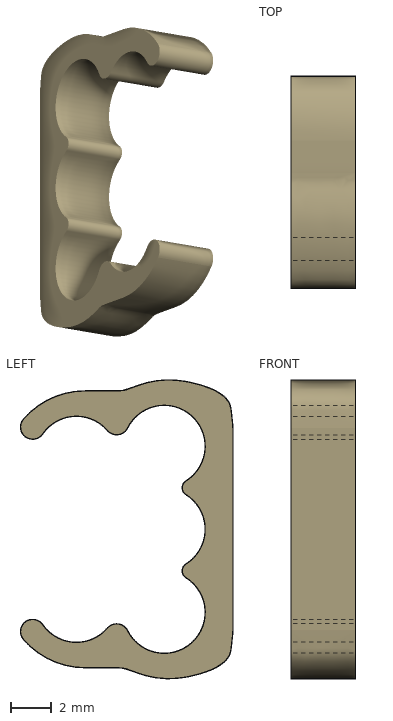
import cadquery as cq
import math

CLIP_WIDTH = 3.17
CLIP_DEPTH = 10.41
CLIP_HEIGHT = 14.64

SEAT_RADIUS = 2.0
SEAT_PITCH = 4.067
BACK_WALL = 1.37
JAW_SEAT_DEPTH = 7.67
JAW_SEAT_HEIGHT = 3.53

NUB_RADIUS = 0.4
RIDGE_RADIUS = 0.6
TIP_RADIUS = 0.6

JAW_FLAT_HEIGHT = 6.785
JAW_OUTER_RADIUS = 4.0
FLAT_END_DEPTH = 5.65
CROWN_DEPTH = 3.15
BACK_FLAT_HALF_HEIGHT = 4.95
SHOULDER = [(0.05, 5.45), (0.18, 6.18), (0.42, 6.49), (0.88, 6.80), (1.58, 7.07)]
NECK = [(4.37, 7.14), (5.07, 6.89)]

MIDDLE_SEAT = (BACK_WALL + SEAT_RADIUS, 0.0)
END_SEAT = (BACK_WALL + SEAT_RADIUS, SEAT_PITCH)
JAW_SEAT = (JAW_SEAT_DEPTH, JAW_SEAT_HEIGHT)


def toward(start, target, distance):
    """Point at a distance from start, on the line through target."""
    length = math.dist(start, target)
    return tuple(a + (b - a) * distance / length for a, b in zip(start, target))


def arc_middle(centre, radius, start, end):
    """Point halfway along the shorter arc from start to end."""
    chord_middle = toward(start, end, math.dist(start, end) / 2)
    return toward(centre, chord_middle, radius)


def round_between(first, second, radius):
    """Centre of a round tangent to two seats, on the left going from first to second."""
    spacing = math.dist(first, second)
    rise = math.sqrt((SEAT_RADIUS + radius) ** 2 - (spacing / 2) ** 2)
    middle = toward(first, second, spacing / 2)
    run_y = (second[0] - first[0]) / spacing
    run_z = (second[1] - first[1]) / spacing
    return (middle[0] - run_z * rise, middle[1] + run_y * rise)


NUB = round_between(MIDDLE_SEAT, END_SEAT, NUB_RADIUS)
RIDGE = round_between(END_SEAT, JAW_SEAT, RIDGE_RADIUS)

TIP_DEPTH = CLIP_DEPTH - TIP_RADIUS
TIP_RISE = math.sqrt((SEAT_RADIUS + TIP_RADIUS) ** 2 - (TIP_DEPTH - JAW_SEAT_DEPTH) ** 2)
TIP = (TIP_DEPTH, JAW_SEAT_HEIGHT + TIP_RISE)

JAW_ARC_HEIGHT = JAW_FLAT_HEIGHT - JAW_OUTER_RADIUS
JAW_ARC_RUN = math.sqrt((JAW_OUTER_RADIUS - TIP_RADIUS) ** 2 - (TIP[1] - JAW_ARC_HEIGHT) ** 2)
JAW_ARC = (TIP_DEPTH - JAW_ARC_RUN, JAW_ARC_HEIGHT)


def outer_edges(outline):
    """From mid-height of the back face, over the crown, to the end of the jaw."""
    crown = (CROWN_DEPTH, CLIP_HEIGHT / 2)
    flat_end = (FLAT_END_DEPTH, JAW_FLAT_HEIGHT)
    shoulder_to_flat = [*SHOULDER, crown, *NECK, flat_end]
    flat_start = (JAW_ARC[0], JAW_FLAT_HEIGHT)
    arc_end = toward(JAW_ARC, TIP, JAW_OUTER_RADIUS)
    return (
        outline.lineTo(0, BACK_FLAT_HALF_HEIGHT)
        .spline(shoulder_to_flat, tangents=[(0, 1), (1, 0)], includeCurrent=True)
        .lineTo(*flat_start)
        .threePointArc(arc_middle(JAW_ARC, JAW_OUTER_RADIUS, flat_start, arc_end), arc_end)
    )


def inner_edges(outline):
    """From the end of the jaw, along seats and rounds, to mid-height of the middle seat."""
    tip_end = toward(JAW_SEAT, TIP, SEAT_RADIUS)
    ridge_start = toward(JAW_SEAT, RIDGE, SEAT_RADIUS)
    ridge_end = toward(END_SEAT, RIDGE, SEAT_RADIUS)
    nub_start = toward(END_SEAT, NUB, SEAT_RADIUS)
    nub_end = toward(MIDDLE_SEAT, NUB, SEAT_RADIUS)
    middle_seat_wall = (BACK_WALL, 0)
    return (
        outline.threePointArc((CLIP_DEPTH, TIP[1]), tip_end)
        .threePointArc((JAW_SEAT[0], JAW_SEAT[1] + SEAT_RADIUS), ridge_start)
        .threePointArc((RIDGE[0], RIDGE[1] - RIDGE_RADIUS), ridge_end)
        .threePointArc((BACK_WALL, SEAT_PITCH), nub_start)
        .threePointArc((NUB[0] + NUB_RADIUS, NUB[1]), nub_end)
        .threePointArc(arc_middle(MIDDLE_SEAT, SEAT_RADIUS, nub_end, middle_seat_wall), middle_seat_wall)
    )


def clip():
    """Mirrored outline, centred on X = 0, with the back face on Y = 0."""
    outline = cq.Workplane("YZ", origin=(-CLIP_WIDTH / 2, 0, 0)).moveTo(0, 0)
    outline = outer_edges(outline)
    outline = inner_edges(outline)
    return outline.mirrorX().extrude(CLIP_WIDTH)


result = clip()